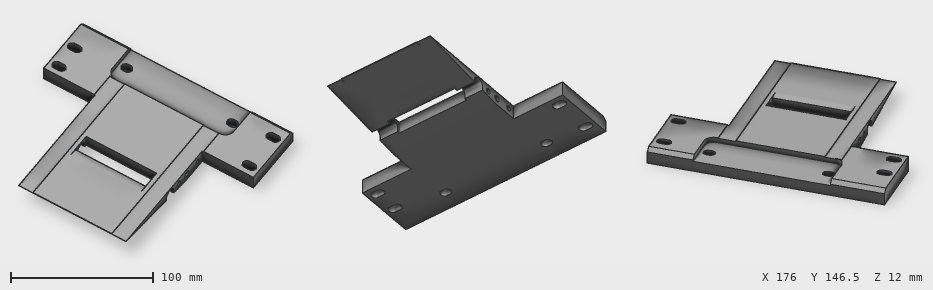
import cadquery as cq
import math

width = 176.0
length = 146.5
height = 12.0

bar_depth = 50.0
bar_front = length - bar_depth
rear_chamfer = 3.0

tongue_width = 90.1
tip_thickness = 0.7
taper_start = 75.7

strip_depth = 0.5
pad_width = 66.2
strip_left = -45.5
strip_right = 46.1

pocket_left = -47.9
pocket_right = 54.0
pocket_front = length - 30.5
pocket_corner = 7.0
pocket_depth = 4.0
overrun = 1.8

slot_diameter = 6.5
wing_slot_length = 10.7
pocket_slot_length = 8.6
wing_slot_x = 79.9
wing_slot_front_y = length - 42.8
wing_slot_left_y = length - 22.9
wing_slot_right_y = length - 12.7
pocket_slot_y = length - 15.1
pocket_slot_left_x = -41.4
pocket_slot_right_x = 47.3

window_width = 59.1
window_rear = 62.1
window_front = 49.0
lip_front = 43.1
lip_drop = 1.0

groove_width = 9.3
groove_center_y = 55.8
groove_top = 10.2

side_holes = [(90.6, 4.0), (77.3, 5.0), (67.2, 4.0)]
side_hole_z = 5.8
side_hole_depth = 10.5
drill_half_angle = math.radians(59)


def box(x_min, x_max, y_min, y_max, z_min, z_max):
    """Box given by its limits on each axis."""
    block = cq.Workplane("XY").box(x_max - x_min, y_max - y_min, z_max - z_min, centered=False)
    return block.translate((x_min, y_min, z_min))


def side_profile(points, profile_width):
    """Closed (Y, Z) outline extruded symmetrically along X."""
    return cq.Workplane("YZ").polyline(points).close().extrude(profile_width / 2, both=True)


def cross_bar():
    bar = box(-width / 2, width / 2, bar_front, length, 0, height)
    return bar.edges(">Y and >Z").chamfer(rear_chamfer)


def tongue():
    outline = [
        (0, height),
        (0, height - tip_thickness),
        (taper_start, 0),
        (bar_front, 0),
        (bar_front, height),
    ]
    return side_profile(outline, tongue_width)


def side_strips():
    floor = height - strip_depth
    left = box(strip_left, -pad_width / 2, 0, pocket_front, floor, height)
    right = box(pad_width / 2, strip_right, 0, pocket_front, floor, height)
    return left.union(right)


def rear_pocket():
    floor = height - pocket_depth
    pocket = box(pocket_left, pocket_right, pocket_front, length + overrun, floor, height)
    return pocket.edges("|Z and <Y").fillet(pocket_corner)


def mounting_slots():
    wing_centers = [
        (-wing_slot_x, wing_slot_front_y),
        (-wing_slot_x, wing_slot_left_y),
        (wing_slot_x, wing_slot_front_y),
        (wing_slot_x, wing_slot_right_y),
    ]
    pocket_centers = [(pocket_slot_left_x, pocket_slot_y), (pocket_slot_right_x, pocket_slot_y)]
    plane = cq.Workplane("XY")
    wing_slots = plane.pushPoints(wing_centers).slot2D(wing_slot_length, slot_diameter).extrude(height)
    pocket_slots = plane.pushPoints(pocket_centers).slot2D(pocket_slot_length, slot_diameter).extrude(height)
    return wing_slots.union(pocket_slots)


def window():
    outline = [
        (lip_front, height),
        (window_front, height - lip_drop),
        (window_front, 0),
        (window_rear, 0),
        (window_rear, height),
    ]
    return side_profile(outline, window_width)


def underside_groove():
    radius = groove_width / 2
    arc_z = groove_top - radius
    front = groove_center_y - radius
    rear = groove_center_y + radius
    outline = (
        cq.Workplane("YZ")
        .moveTo(front, 0)
        .lineTo(front, arc_z)
        .threePointArc((groove_center_y, groove_top), (rear, arc_z))
        .lineTo(rear, 0)
        .close()
    )
    return outline.extrude(tongue_width / 2, both=True)


def drilled_hole(y, diameter):
    """Hole with a conical drill tip, entering the left side of the tongue."""
    radius = diameter / 2
    tip = radius / math.tan(drill_half_angle)
    half_section = [
        (0, 0),
        (0, radius),
        (side_hole_depth, radius),
        (side_hole_depth + tip, 0),
    ]
    drill = cq.Workplane("XY").polyline(half_section).close().revolve(360, (0, 0), (1, 0))
    return drill.translate((-tongue_width / 2, y, side_hole_z))


result = cross_bar().union(tongue())
for cutter in (side_strips(), rear_pocket(), mounting_slots(), window(), underside_groove()):
    result = result.cut(cutter)

for hole_y, hole_diameter in side_holes:
    left_hole = drilled_hole(hole_y, hole_diameter)
    result = result.cut(left_hole).cut(left_hole.mirror("YZ"))